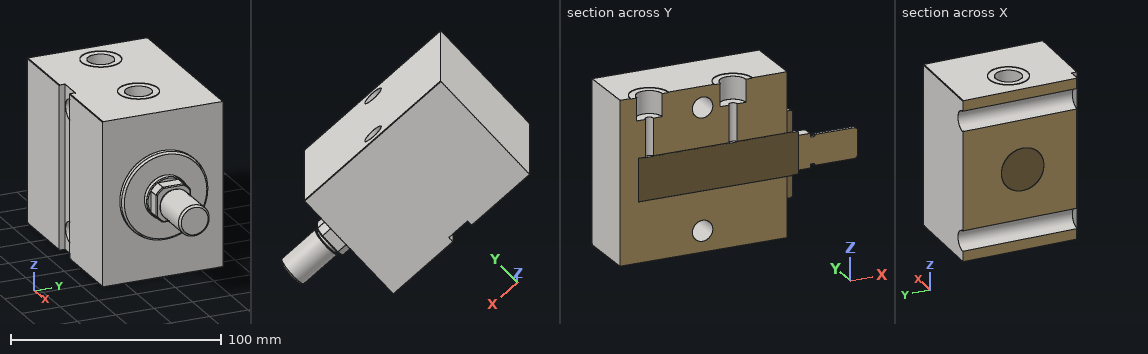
import cadquery as cq


housing_length = 88.0
housing_width = 63.0
housing_height = 85.0
edge_chamfer = 0.2

slot_center_x = 43.5
slot_width = 12.0
slot_depth = 3.0
mounting_hole_diameter = 10.5
mounting_hole_spacing = 63.0

rear_port_x = 15.5
port_spacing = 44.0
port_diameter = 13.2
port_depth = 12.0
spotface_diameter = 20.0
spotface_depth = 0.2
oil_hole_diameter = 4.0

gland_diameter = 45.0
gland_thickness = 3.0
gland_chamfer = 1.0

rod_diameter = 22.0
rod_back_x = 10.0
rod_projection = 6.0
rod_chamfer = 0.5

wrench_diameter = 21.0
wrench_flat_width = 18.0
wrench_length = 6.5
wrench_chamfer = 0.5
neck_diameter = 14.0
neck_length = 2.0
neck_flare = 0.4
shank_diameter = 16.0
shank_chamfer = 1.0
overall_length = 125.0

rod_front_x = housing_length + rod_projection
wrench_front_x = rod_front_x + wrench_length
shank_back_x = wrench_front_x + neck_length
top_z = housing_height / 2
front_y = -housing_width / 2


def cylinder_x(start_x, length, diameter):
    """Cylinder on the working axis, from start_x toward +X."""
    return cq.Workplane("YZ", origin=(start_x, 0, 0)).circle(diameter / 2).extrude(length)


def hole_down(x, depth, diameter):
    """Cutter for a vertical hole sunk into the top face."""
    return cq.Workplane("XY", origin=(x, 0, top_z)).circle(diameter / 2).extrude(-depth)


def make_port_cutter(x):
    """Spotface, port bore and the narrow oil hole that runs down to the rod axis."""
    spotface = hole_down(x, spotface_depth, spotface_diameter)
    port = hole_down(x, port_depth, port_diameter)
    oil_hole = hole_down(x, top_z, oil_hole_diameter)
    return spotface.union(port).union(oil_hole)


def make_housing():
    block = cq.Workplane("XY").box(housing_length, housing_width, housing_height)
    block = block.translate((housing_length / 2, 0, 0))
    block = block.edges("|X").chamfer(edge_chamfer)

    slot = cq.Workplane("XY").box(slot_width, 2 * slot_depth, housing_height)
    block = block.cut(slot.translate((slot_center_x, front_y, 0)))

    mounting_holes = (
        cq.Workplane("XZ", origin=(slot_center_x, housing_width / 2, 0))
        .pushPoints([(0, side * mounting_hole_spacing / 2) for side in (-1, 1)])
        .circle(mounting_hole_diameter / 2)
        .extrude(housing_width)
    )
    block = block.cut(mounting_holes)

    for port_x in (rear_port_x, rear_port_x + port_spacing):
        block = block.cut(make_port_cutter(port_x))

    rod_bore = cylinder_x(rod_back_x, housing_length - rod_back_x, rod_diameter)
    return block.cut(rod_bore)


def make_gland():
    ring = cylinder_x(housing_length, gland_thickness, gland_diameter)
    ring = ring.faces(">X").edges().chamfer(gland_chamfer)
    return ring.cut(cylinder_x(housing_length, gland_thickness, rod_diameter))


def make_rod():
    rod = cylinder_x(rod_back_x, rod_front_x - rod_back_x, rod_diameter)
    return rod.faces(">X").edges().chamfer(rod_chamfer)


def make_wrench_section():
    """Round collar flattened on four sides, chamfered all round its front end."""
    collar = cylinder_x(rod_front_x, wrench_length, wrench_diameter)
    square_bar = (
        cq.Workplane("YZ", origin=(rod_front_x, 0, 0))
        .rect(wrench_flat_width, wrench_flat_width)
        .extrude(wrench_length)
    )
    collar = collar.intersect(square_bar)
    return collar.faces(">X").edges().chamfer(wrench_chamfer)


def make_threaded_shank():
    """Turned neck, flared where it meets the shank, and the shank with its chamfered tip."""
    neck_radius = neck_diameter / 2
    shank_radius = shank_diameter / 2
    half_profile = [
        (wrench_front_x, 0),
        (wrench_front_x, neck_radius),
        (shank_back_x - neck_flare, neck_radius),
        (shank_back_x, neck_radius + neck_flare),
        (shank_back_x, shank_radius),
        (overall_length - shank_chamfer, shank_radius),
        (overall_length, shank_radius - shank_chamfer),
        (overall_length, 0),
    ]
    return cq.Workplane("XY").polyline(half_profile).close().revolve(360, (0, 0, 0), (1, 0, 0))


def make_rod_end():
    return make_wrench_section().union(make_threaded_shank())


housing = make_housing()
gland = make_gland()
rod = make_rod()
rod_end = make_rod_end()

result = cq.Compound.makeCompound([housing.val(), gland.val(), rod.val(), rod_end.val()])